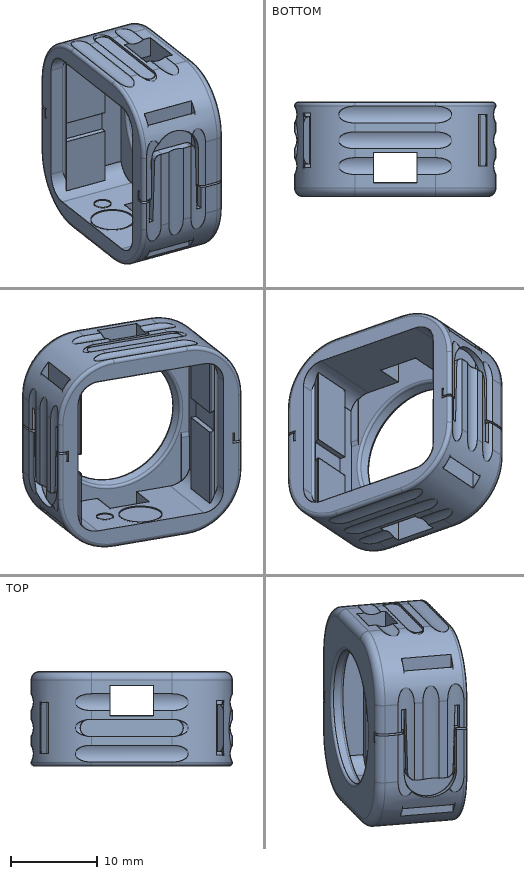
import cadquery as cq
import math

WIDTH = 23.4
DEPTH = 11.0
CORNER_RADIUS = 7.02
FRONT_FILLET = 0.45
BACK_FILLET = 1.0
HALF = WIDTH / 2
DIAGONAL = math.sqrt(0.5)

CAVITY_WIDTH = 18.63
CAVITY_CORNER = 2.5
CAVITY_DEPTH = 9.35
CAVITY_HALF = CAVITY_WIDTH / 2

BORE_RADIUS = 7.8
BORE_FRONT_RADIUS = 8.1
BORE_FILLET = 0.33

GROOVE_RADIUS = 2.0
GROOVE_DEPTH = 0.25
GROOVE_PITCH = 3.0
GROOVE_MIDDLE_Y = 4.45
GROOVE_ROWS = [GROOVE_MIDDLE_Y + step * GROOVE_PITCH for step in (-1, 0, 1)]
NAMEPLATE_LENGTH = 11.98
NAMEPLATE_WIDTH = 1.97

WINDOW_WIDTH = 5.0
WINDOW_LENGTH = 3.49

FLOOR_RECESSES = [(-0.05, 2.78, 2.5), (-4.1, 3.85, 0.98)]
RECESS_DEPTH = 0.12

LIP_Y = 1.45
LIP_WIDTH = 0.16
LIP_SLOPE = 0.4
LIP_FILLET = 0.33
PLATE_BACK_Y = 6.65
PLATE_X = 8.21
PLATE_ROOT_X = CAVITY_HALF - LIP_FILLET
LINER_X = 9.2
NOTCH_HEIGHT = 2.43
NOTCH_FLOOR_X = 8.9

PAD_THICKNESS = 0.15
PAD_START_Z = 2.9
PAD_RAMP = 0.54

JOINT_Y = GROOVE_MIDDLE_Y
SOCKET_WIDTH = 6.35
SOCKET_ARC_Z = -3.81
SOCKET_INNER_X = 9.83
SOCKET_OUTER_X = 10.7
CORNER_Z = 10.53
SLOT_WIDTH = 5.95
SLOT_INNER_X = 9.66
TONGUE_INNER_X = 10.65
TONGUE_TOP_Z = 3.95
TONGUE_END_Z = -4.65
TONGUE_END_WIDTH = 5.43
TONGUE_CORNER = 0.82
SIDE_SLIT_WIDTH = 7.0
CATCH_X = 10.53
CATCH_END_Z = -3.55
HOOK_GAP = 0.07
HOOK_X = 9.97
SPLIT_Z = 1.0
SPLIT_GAP = 0.23
SPLIT_STEP_GAP = 0.19


def block(x_range, y_range, z_range):
    """Box between two limits on each axis."""
    size = [high - low for low, high in (x_range, y_range, z_range)]
    corner = (x_range[0], y_range[0], z_range[0])
    return cq.Workplane("XY").box(*size, centered=False).translate(corner)


def rounded_prism(width, depth, radius):
    """Square prism with round corners, running along +Y from Y = 0."""
    square = cq.Workplane("XZ").rect(width, width).extrude(-depth)
    return square.edges("|Y").fillet(radius)


def centered_range(width, middle=0.0):
    """Limits of a span of the given width about its middle."""
    return (middle - width / 2, middle + width / 2)


def half_turn(shape):
    """The shape on the opposite side, turned half a turn about Y."""
    return shape.rotate((0, 0, 0), (0, 1, 0), 180)


def both_sides(shape):
    return shape.union(half_turn(shape))


def make_shell():
    shell = rounded_prism(WIDTH, DEPTH, CORNER_RADIUS)
    shell = shell.faces("<Y").edges().fillet(FRONT_FILLET)
    shell = shell.faces(">Y").edges().fillet(BACK_FILLET)
    return shell.cut(rounded_prism(CAVITY_WIDTH, CAVITY_DEPTH, CAVITY_CORNER))


def make_bore():
    """Tapered opening with both edges rounded, as a solid of revolution about Y."""
    arc_inset = BORE_FILLET * (1 - DIAGONAL)
    return (
        cq.Workplane("XY")
        .moveTo(0, CAVITY_DEPTH)
        .lineTo(BORE_FRONT_RADIUS + BORE_FILLET, CAVITY_DEPTH)
        .threePointArc(
            (BORE_FRONT_RADIUS + arc_inset, CAVITY_DEPTH + arc_inset),
            (BORE_FRONT_RADIUS, CAVITY_DEPTH + BORE_FILLET),
        )
        .lineTo(BORE_RADIUS, DEPTH - BORE_FILLET)
        .threePointArc(
            (BORE_RADIUS + arc_inset, DEPTH - arc_inset),
            (BORE_RADIUS + BORE_FILLET, DEPTH),
        )
        .lineTo(0, DEPTH)
        .close()
        .revolve(360, (0, 0, 0), (0, 1, 0))
    )


def make_right_plate():
    """Guide plate on the +X side: lip, plate and liner, notched just above mid height."""
    root_y = LIP_Y + LIP_SLOPE
    arc_offset = LIP_FILLET * DIAGONAL
    arc_middle = (PLATE_ROOT_X + arc_offset, root_y - LIP_FILLET + arc_offset)
    profile = (
        cq.Workplane("XY", origin=(0, 0, -CAVITY_HALF))
        .moveTo(CAVITY_HALF, root_y - LIP_FILLET)
        .threePointArc(arc_middle, (PLATE_ROOT_X, root_y))
        .lineTo(PLATE_X + LIP_WIDTH, LIP_Y)
        .lineTo(PLATE_X, LIP_Y)
        .lineTo(PLATE_X, PLATE_BACK_Y)
        .lineTo(LINER_X, PLATE_BACK_Y)
        .lineTo(LINER_X, CAVITY_DEPTH)
        .lineTo(CAVITY_HALF, CAVITY_DEPTH)
        .close()
        .extrude(CAVITY_WIDTH)
    )
    notch = block((PLATE_X, NOTCH_FLOOR_X), (0, PLATE_BACK_Y), (0, NOTCH_HEIGHT))
    return profile.cut(notch)


def make_right_pad():
    """Pad on the back wall below mid height, ramped at its upper end."""
    return (
        cq.Workplane("YZ", origin=(PLATE_X, 0, 0))
        .moveTo(CAVITY_DEPTH, -PAD_START_Z)
        .lineTo(CAVITY_DEPTH - PAD_THICKNESS, -PAD_START_Z - PAD_RAMP)
        .lineTo(CAVITY_DEPTH - PAD_THICKNESS, -CAVITY_HALF)
        .lineTo(CAVITY_DEPTH, -CAVITY_HALF)
        .close()
        .extrude(CAVITY_HALF - PLATE_X)
    )


def make_guides():
    guides = both_sides(make_right_plate().union(make_right_pad()))
    return guides.intersect(rounded_prism(CAVITY_WIDTH, CAVITY_DEPTH, CAVITY_CORNER))


def make_joint_cut():
    """Space around the left tongue: parting slit, U-shaped socket and the slots behind it."""
    socket_y = centered_range(SOCKET_WIDTH, JOINT_Y)
    split_top = SPLIT_Z + SPLIT_GAP
    split = block((-HALF, -TONGUE_INNER_X), (0, DEPTH), (SPLIT_Z, split_top))
    step_x = centered_range(SPLIT_STEP_GAP, -TONGUE_INNER_X)
    step = block(step_x, (0, DEPTH), (0, split_top))

    side_slits = block(
        (-HALF, -TONGUE_INNER_X), centered_range(SIDE_SLIT_WIDTH, JOINT_Y), (SPLIT_Z, TONGUE_TOP_Z)
    )
    mouth = block((-HALF, -SOCKET_INNER_X), socket_y, (SOCKET_ARC_Z, 0))
    mouth_front = block((-HALF, -TONGUE_INNER_X), socket_y, (0, split_top))
    mouth_end = (
        cq.Workplane("YZ", origin=(-HALF, JOINT_Y, SOCKET_ARC_Z))
        .circle(SOCKET_WIDTH / 2)
        .extrude(HALF - SOCKET_INNER_X)
    )
    lower_slot = block((-SOCKET_OUTER_X, -SOCKET_INNER_X), socket_y, (-CORNER_Z, 0))
    upper_slot = block(
        (-TONGUE_INNER_X, -SLOT_INNER_X), centered_range(SLOT_WIDTH, JOINT_Y), (0, CORNER_Z)
    )
    cut = split
    for space in (step, side_slits, mouth, mouth_front, mouth_end, lower_slot, upper_slot):
        cut = cut.union(space)
    return cut


def make_catch():
    """Ridge in the socket, with a sloped top, that holds the tongue hook."""
    slope = CATCH_X - SOCKET_INNER_X
    outline = [
        (-SOCKET_INNER_X, 0),
        (-CATCH_X, -slope),
        (-CATCH_X, CATCH_END_Z),
        (-SOCKET_INNER_X, CATCH_END_Z),
    ]
    front_y = JOINT_Y - SOCKET_WIDTH / 2
    return cq.Workplane("XZ", origin=(0, front_y, 0)).polyline(outline).close().extrude(-SOCKET_WIDTH)


def make_tongue():
    """Tapered tongue hanging from the upper half, hooked inward at its end."""
    side_outline = [
        (-HALF, TONGUE_TOP_Z),
        (-TONGUE_INNER_X, TONGUE_TOP_Z),
        (-TONGUE_INNER_X, CATCH_END_Z - HOOK_GAP),
        (-HOOK_X, CATCH_END_Z - HOOK_GAP),
        (-TONGUE_INNER_X, TONGUE_END_Z),
        (-HALF, TONGUE_END_Z),
    ]
    side = cq.Workplane("XZ").polyline(side_outline).close().extrude(-DEPTH)
    front_outline = [
        (-SLOT_WIDTH / 2, TONGUE_TOP_Z),
        (SLOT_WIDTH / 2, TONGUE_TOP_Z),
        (TONGUE_END_WIDTH / 2, TONGUE_END_Z),
        (-TONGUE_END_WIDTH / 2, TONGUE_END_Z),
    ]
    front = (
        cq.Workplane("YZ", origin=(-HALF, JOINT_Y, 0))
        .polyline(front_outline)
        .close()
        .extrude(HALF)
        .edges("|X and <Z")
        .fillet(TONGUE_CORNER)
    )
    return side.intersect(front)


def cut_grooves(body):
    """Cut three shallow round grooves across each outer side."""
    axis_offset = HALF - GROOVE_DEPTH + GROOVE_RADIUS
    for row_y in GROOVE_ROWS:
        base = cq.Workplane("YZ", origin=(-HALF, row_y, axis_offset))
        groove = base.circle(GROOVE_RADIUS).extrude(WIDTH)
        for turn in range(4):
            body = body.cut(groove.rotate((0, 0, 0), (0, 1, 0), 90 * turn))
    return body


def make_nameplate():
    """Flat-bottomed pocket along the middle groove of the top."""
    return (
        cq.Workplane("XY", origin=(0, GROOVE_MIDDLE_Y, HALF - GROOVE_DEPTH))
        .slot2D(NAMEPLATE_LENGTH, NAMEPLATE_WIDTH)
        .extrude(GROOVE_DEPTH)
    )


def make_window():
    window_y = (CAVITY_DEPTH - WINDOW_LENGTH, CAVITY_DEPTH)
    return block(centered_range(WINDOW_WIDTH), window_y, (-HALF, HALF))


def make_floor_recess(x, y, radius):
    base = cq.Workplane("XY", origin=(x, y, -CAVITY_HALF - RECESS_DEPTH))
    return base.circle(radius).extrude(RECESS_DEPTH)


body = make_shell().union(make_guides()).cut(make_bore())
body = body.cut(both_sides(make_joint_cut()))
body = body.union(both_sides(make_catch()))
body = body.union(both_sides(make_tongue()))
body = cut_grooves(body)
body = body.cut(make_nameplate()).cut(make_window())
for recess in FLOOR_RECESSES:
    body = body.cut(make_floor_recess(*recess))

result = body